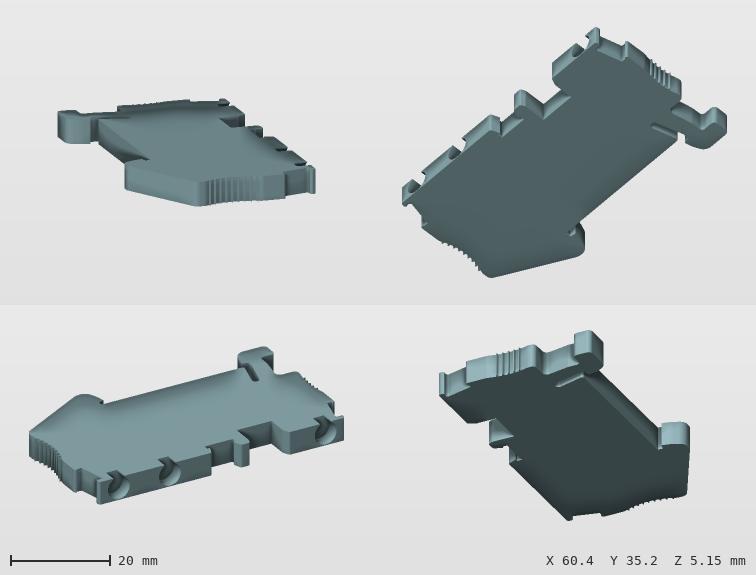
import cadquery as cq
import math

length = 60.4
width = 35.25
thickness = 5.15

left_grip_y = 18.75
left_grip_half_chord = 4.55
left_grip_depth = 0.65
left_rib_count = 5
right_grip_y = 17.2
right_grip_half_chord = 6.0
right_grip_depth = 1.3
right_rib_count = 9
rib_pitch = 1.25
rib_width = 0.5
rib_tip_width = 0.2
rib_root = 0.2
grip_blend_radius = 2.05

right_side = 60.3
mirror_x = right_side / 2
rail_y = 6.0
rail_lip_y = 4.85
foot_top_y = 4.05
foot_radius = 0.9
shoulder_y = 12.6

wide_slot_left = 15.3
wide_slot_right = 23.3
wide_slot_floor = 29.2
clip_slot_left = 26.0
clip_slot_right = 32.45
clip_slot_floor = 32.15
clip_lip_y = 33.25

bore_centers_x = (6.15, 42.25, 54.1)
bore_depth = 2.95
bore_radius = 2.55
bore_center_z = 2.7
bore_opening = 2.6
bore_flat = 0.6


def rounded_outline(corners):
    """Closed wire through (x, y, radius) corners; a radius of 0 leaves the corner sharp."""
    path = None
    for index, (x, y, radius) in enumerate(corners):
        previous_x, previous_y, _ = corners[index - 1]
        next_x, next_y, _ = corners[(index + 1) % len(corners)]
        toward_previous = cq.Vector(previous_x - x, previous_y - y).normalized()
        toward_next = cq.Vector(next_x - x, next_y - y).normalized()
        corner = cq.Vector(x, y)
        half_angle = toward_previous.getAngle(toward_next) / 2
        setback = radius / math.tan(half_angle)
        start = corner + toward_previous * setback
        path = path.lineTo(start.x, start.y) if path else cq.Workplane("XY").moveTo(start.x, start.y)
        if radius > 0:
            bisector = (toward_previous + toward_next).normalized()
            middle = corner + bisector * (radius / math.sin(half_angle) - radius)
            end = corner + toward_next * setback
            path = path.threePointArc((middle.x, middle.y), (end.x, end.y))
    return path.close()


def mirrored(corners):
    """The same corners on the other side of the mirror line, in reverse order."""
    return [(2 * mirror_x - x, y, radius) for x, y, radius in reversed(corners)]


def body():
    latch_notch = [
        (0, 28.3, 0.5),
        (0.55, 28.3, 0),
        (0.65, 28.0, 0),
        (1.7, 28.0, 0),
        (3.2, 34.1, 0.5),
        (2.1, 34.1, 0.1),
        (1.8, 33.9, 0.1),
        (1.6, 34.45, 0.2),
        (1.8, width, 0.35),
    ]
    top_edge = [
        (14.55, width, 0.35),
        (wide_slot_left, 33.6, 0.5),
        (wide_slot_left, wide_slot_floor, 0),
        (wide_slot_right, wide_slot_floor, 0),
        (wide_slot_right, 34.2, 0.6),
        (23.8, width, 0.4),
        (25.75, width, 0.55),
        (26.45, 33.35, 0.1),
        (clip_slot_left, clip_lip_y, 0),
        (clip_slot_left, clip_slot_floor, 0),
        (clip_slot_right, clip_slot_floor, 0),
        (clip_slot_right, clip_lip_y, 0),
        (31.85, clip_lip_y, 0),
        (32.6, width, 0.55),
    ]
    right_hook = [
        (right_side, 9.1, 1.5),
        (43.9, 0, 2.7),
        (41.65, 0, 1.8),
        (40.5, 2.6, 4.85),
        (40.05, 4.55, 0),
        (41.35, rail_lip_y, 0),
        (41.35, rail_y, 0),
    ]
    spring_slot = [
        (8.35, rail_y, 0.4),
        (10.1, 12.7, 0.7),
        (8.45, 12.7, 0.7),
        (6.7, 6.3, 0.6),
    ]
    left_foot = [
        (6.7, rail_lip_y, 0),
        (8.1, 4.55, 0),
        (7.75, 2.65, 4.85),
        (6.6, 0, 2.2),
        (0, 0, foot_radius),
        (0, foot_top_y, foot_radius),
        (3.5, foot_top_y, 0.8),
        (3.5, 6.9, 1.8),
        (4.55, shoulder_y, 1.0),
        (0, shoulder_y, 0.9),
    ]
    corners = latch_notch + top_edge + mirrored(latch_notch) + right_hook + spring_slot + left_foot
    return rounded_outline(corners).extrude(thickness)


def ribbed_grip(plate, side_x, inward, tip_x, center_y, half_chord, depth, rib_count):
    """Hollow one short side with a shallow arc and set ribs along it.

    `inward` is +1 or -1, the X direction into the body. The outermost ribs reach `tip_x`.
    """
    radius = (half_chord**2 + depth**2) / (2 * depth)
    arc_center_x = side_x - inward * (radius - depth)
    hollow = cq.Workplane("XY").center(arc_center_x, center_y).circle(radius).extrude(thickness)
    plate = plate.cut(hollow)
    for end_y in (center_y - half_chord, center_y + half_chord):
        grip_end = cq.selectors.NearestToPointSelector((side_x, end_y, thickness / 2))
        plate = plate.edges("|Z").edges(grip_end).fillet(grip_blend_radius)

    def arc_x(offset):
        return arc_center_x + inward * math.sqrt(radius**2 - offset**2)

    end_offset = (rib_count - 1) / 2 * rib_pitch
    rib_height = abs(arc_x(end_offset) - tip_x)
    for index in range(rib_count):
        offset = index * rib_pitch - end_offset
        root_x = arc_x(offset) + inward * rib_root
        rib_tip_x = arc_x(offset) - inward * rib_height
        y = center_y + offset
        rib = (
            cq.Workplane("XY")
            .polyline([
                (root_x, y - rib_width / 2),
                (rib_tip_x, y - rib_tip_width / 2),
                (rib_tip_x, y + rib_tip_width / 2),
                (root_x, y + rib_width / 2),
            ])
            .close()
            .extrude(thickness)
        )
        plate = plate.union(rib)
    return plate


def wire_bore(center_x):
    """Round bore along Y, flattened at the bottom and slotted through the top face."""
    floor_z = bore_center_z - math.sqrt(bore_radius**2 - (bore_flat / 2)**2)
    bore = (
        cq.Workplane("XZ", origin=(center_x, width, bore_center_z))
        .circle(bore_radius)
        .extrude(bore_depth)
    )
    bore_center_y = width - bore_depth / 2
    above_floor = cq.Workplane("XY", origin=(center_x, bore_center_y, floor_z)).box(
        2 * bore_radius, bore_depth, 2 * bore_radius, centered=(True, True, False)
    )
    slot = cq.Workplane("XY", origin=(center_x, bore_center_y, bore_center_z)).box(
        bore_opening, bore_depth, thickness - bore_center_z, centered=(True, True, False)
    )
    return bore.intersect(above_floor).union(slot)


result = body()
result = ribbed_grip(
    result, 0, 1, 0, left_grip_y, left_grip_half_chord, left_grip_depth, left_rib_count
)
result = ribbed_grip(
    result, right_side, -1, length, right_grip_y, right_grip_half_chord, right_grip_depth, right_rib_count
)
for bore_x in bore_centers_x:
    result = result.cut(wire_bore(bore_x))